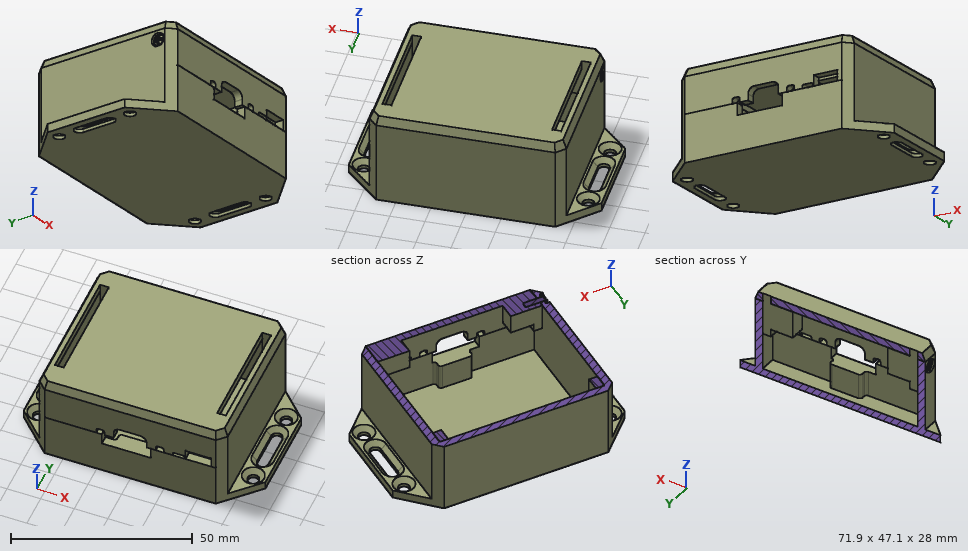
import cadquery as cq
import math

LENGTH = 71.9
WIDTH = 47.15
HEIGHT = 27.95
CORNER_CUT = 10.5

WALL = 2.6
BODY_LENGTH = 56.0
SPLIT_Z = 14.3
LID_BEVEL = 1.1
PLATE_Z = HEIGHT - WALL
INNER_LENGTH = BODY_LENGTH - 2 * WALL
INNER_WIDTH = WIDTH - 2 * WALL
FRONT_Y = -WIDTH / 2

FLANGE_HOLE_X = 31.9
FLANGE_HOLE_Y = 12.0
FLANGE_HOLE_DIAMETER = 3.4
COUNTERSINK_DIAMETER = 6.4
COUNTERSINK_DEPTH = (COUNTERSINK_DIAMETER - FLANGE_HOLE_DIAMETER) / 2
SLOT_CENTRES = 10.2

LID_SLOT_LENGTH = 32.9
LID_SLOT_Y = 0.35
POST_THICKNESS = WALL
POST_X = (INNER_LENGTH - POST_THICKNESS) / 2
POST_INNER_X = POST_X - POST_THICKNESS / 2

BOSS_LENGTH = 7.2
BOSS_FRONT_Y = FRONT_Y + WALL
BOSS_BACK_Y = LID_SLOT_Y - LID_SLOT_LENGTH / 2
BOSS_WIDTH = BOSS_BACK_Y - BOSS_FRONT_Y
BOSS_Y = (BOSS_FRONT_Y + BOSS_BACK_Y) / 2
BOSS_BOTTOM_Z = 16.7

PLUG_WIDTH = 9.8
PLUG_HEIGHT = 3.9
PLUG_RADIUS = 2.0
LIGHT_X = 8.85
LIGHT_WIDTH = 2.45
LIGHT_HEIGHT = 1.7
LIGHT_RADIUS = 0.85
LOW_OPENING_X = 14.4
LOW_OPENING_WIDTH = 3.5
LOW_OPENING_HEIGHT = 1.1
LOW_OPENING_RADIUS = 0.61
WIDE_OPENING_X = 20.3
WIDE_OPENING_WIDTH = 7.6
WIDE_OPENING_HEIGHT = 3.2

NOTCH_X = -1.15
NOTCH_WIDTH = 14.5
NOTCH_DEPTH = 3.7
NOTCH_Z = SPLIT_Z - NOTCH_DEPTH
PAD_WIDTH = 10.35
PAD_DEPTH = 2.5
PAD_RADIUS = 0.85

SCREW_Y = -18.55
SCREW_Z = 22.6
HEAD_DIAMETER = 3.4
HEAD_RIM_HEIGHT = 0.6
HEAD_DOME_HEIGHT = 0.5
HEAD_HEIGHT = HEAD_RIM_HEIGHT + HEAD_DOME_HEIGHT
HEAD_RECESS_DIAMETER = 4.0
HEAD_RECESS_DEPTH = 1.1
SHANK_DIAMETER = 1.6
SHANK_LENGTH = 5.75
CROSS_LENGTH = 2.2
CROSS_WIDTH = 0.65
CROSS_DEPTH = 0.6
HEAD_SEAT_X = -BODY_LENGTH / 2 + HEAD_RECESS_DEPTH


def block(length, width, bottom, top, x=0.0, y=0.0):
    """Upright box centred on x and y, reaching from bottom to top."""
    return cq.Workplane(origin=(x, y, bottom)).rect(length, width).extrude(top - bottom)


def cut_corner_prism(length, bottom, top, taper=0.0):
    """Prism across the full width whose 45 degree cut corners lie on the lines of the flanges."""
    half_length = length / 2
    half_width = WIDTH / 2
    inner_x = LENGTH / 2 - CORNER_CUT
    inner_y = half_width - (half_length - inner_x)
    return (
        cq.Workplane(origin=(0, 0, bottom))
        .polyline([
            (half_length, -inner_y),
            (half_length, inner_y),
            (inner_x, half_width),
            (-inner_x, half_width),
            (-half_length, inner_y),
            (-half_length, -inner_y),
            (-inner_x, -half_width),
            (inner_x, -half_width),
        ])
        .close()
        .extrude(top - bottom, taper=taper)
    )


def flange_hole(x, y):
    """Countersunk round hole."""
    hole = cq.Workplane(origin=(x, y, 0)).circle(FLANGE_HOLE_DIAMETER / 2).extrude(WALL)
    cone = (
        cq.Workplane(origin=(x, y, WALL))
        .circle(COUNTERSINK_DIAMETER / 2)
        .extrude(-COUNTERSINK_DEPTH, taper=45)
    )
    return hole.union(cone)


def flange_slot(x):
    """Countersunk slot along Y: two countersunk ends joined by a straight stretch."""
    half_hole = FLANGE_HOLE_DIAMETER / 2
    half_mouth = COUNTERSINK_DIAMETER / 2
    straight = (
        cq.Workplane("XZ", origin=(x, SLOT_CENTRES / 2, 0))
        .polyline([
            (-half_hole, 0),
            (half_hole, 0),
            (half_hole, WALL - COUNTERSINK_DEPTH),
            (half_mouth, WALL),
            (-half_mouth, WALL),
            (-half_hole, WALL - COUNTERSINK_DEPTH),
        ])
        .close()
        .extrude(SLOT_CENTRES)
    )
    for side in (-1, 1):
        straight = straight.union(flange_hole(x, side * SLOT_CENTRES / 2))
    return straight


def screw_axis_cylinder(diameter, start_x, length):
    """Cylinder along +X on the axis of the lid screw."""
    return (
        cq.Workplane("YZ", origin=(start_x, SCREW_Y, SCREW_Z))
        .circle(diameter / 2)
        .extrude(length)
    )


def support_pad():
    """Pad behind the notch: rounded at its inner corners, filleted into the front wall."""
    half_width = PAD_WIDTH / 2
    wall_y = FRONT_Y + WALL
    pad_y = wall_y + PAD_DEPTH
    return (
        cq.Workplane(origin=(0, 0, WALL))
        .moveTo(-half_width - PAD_RADIUS, wall_y)
        .radiusArc((-half_width, wall_y + PAD_RADIUS), -PAD_RADIUS)
        .lineTo(-half_width, pad_y - PAD_RADIUS)
        .radiusArc((-half_width + PAD_RADIUS, pad_y), PAD_RADIUS)
        .lineTo(half_width - PAD_RADIUS, pad_y)
        .radiusArc((half_width, pad_y - PAD_RADIUS), PAD_RADIUS)
        .lineTo(half_width, wall_y + PAD_RADIUS)
        .radiusArc((half_width + PAD_RADIUS, wall_y), -PAD_RADIUS)
        .close()
        .extrude(NOTCH_Z - WALL)
    )


def front_opening(x, width, height, radius=0.0):
    """Cutter through the lid's front wall, rising from the split, with rounded upper corners."""
    cutter = block(width, WALL, SPLIT_Z, SPLIT_Z + height, x, FRONT_Y + WALL / 2)
    if radius > 0:
        cutter = cutter.edges("|Y and >Z").fillet(radius)
    return cutter


def make_base():
    """Floor with flanges, full-height side and back walls, and a front wall up to the split."""
    base = cut_corner_prism(LENGTH, 0, WALL).union(cut_corner_prism(BODY_LENGTH, 0, PLATE_Z))
    base = base.cut(block(INNER_LENGTH, INNER_WIDTH, WALL, PLATE_Z))
    base = base.cut(block(INNER_LENGTH, WALL, SPLIT_Z, PLATE_Z, y=FRONT_Y + WALL / 2))
    for side in (-1, 1):
        base = base.cut(flange_slot(side * FLANGE_HOLE_X))
        for end in (-1, 1):
            base = base.cut(flange_hole(side * FLANGE_HOLE_X, end * FLANGE_HOLE_Y))
    base = base.union(support_pad())
    base = base.cut(block(NOTCH_WIDTH, WALL, NOTCH_Z, SPLIT_Z, NOTCH_X, FRONT_Y + WALL / 2))
    base = base.cut(screw_axis_cylinder(HEAD_RECESS_DIAMETER, -BODY_LENGTH / 2, HEAD_RECESS_DEPTH))
    return base.cut(screw_axis_cylinder(SHANK_DIAMETER, HEAD_SEAT_X, SHANK_LENGTH))


def make_lid():
    """Bevelled plate with a front wall, corner posts and screw bosses."""
    bevel_angle = math.degrees(math.atan(LID_BEVEL / WALL))
    lid = cut_corner_prism(BODY_LENGTH, PLATE_Z, HEIGHT, bevel_angle)
    lid = lid.union(block(INNER_LENGTH, WALL, SPLIT_Z, PLATE_Z, y=FRONT_Y + WALL / 2))
    for side in (-1, 1):
        lid = lid.union(block(POST_THICKNESS, INNER_WIDTH, SPLIT_Z, PLATE_Z, side * POST_X))
        boss_x = side * (POST_INNER_X - BOSS_LENGTH / 2)
        lid = lid.union(block(BOSS_LENGTH, BOSS_WIDTH, BOSS_BOTTOM_Z, PLATE_Z, boss_x, BOSS_Y))
        lid = lid.cut(
            block(POST_THICKNESS, LID_SLOT_LENGTH, SPLIT_Z, HEIGHT, side * POST_X, LID_SLOT_Y)
        )

    lid = lid.cut(front_opening(0, PLUG_WIDTH, PLUG_HEIGHT, PLUG_RADIUS))
    for side in (-1, 1):
        lid = lid.cut(front_opening(side * LIGHT_X, LIGHT_WIDTH, LIGHT_HEIGHT, LIGHT_RADIUS))
    lid = lid.cut(
        front_opening(LOW_OPENING_X, LOW_OPENING_WIDTH, LOW_OPENING_HEIGHT, LOW_OPENING_RADIUS)
    )
    lid = lid.cut(front_opening(WIDE_OPENING_X, WIDE_OPENING_WIDTH, WIDE_OPENING_HEIGHT))
    return lid.cut(screw_axis_cylinder(SHANK_DIAMETER, HEAD_SEAT_X, SHANK_LENGTH))


def make_screw():
    """Domed screw head with a cross recess, and a plain shank."""
    head_top_x = HEAD_SEAT_X - HEAD_HEIGHT
    dome_radius = ((HEAD_DIAMETER / 2) ** 2 + HEAD_DOME_HEIGHT**2) / (2 * HEAD_DOME_HEIGHT)
    dome_ball = cq.Workplane(origin=(head_top_x + dome_radius, SCREW_Y, SCREW_Z)).sphere(dome_radius)
    head = screw_axis_cylinder(HEAD_DIAMETER, head_top_x, HEAD_HEIGHT).intersect(dome_ball)
    screw = head.union(screw_axis_cylinder(SHANK_DIAMETER, HEAD_SEAT_X, SHANK_LENGTH))
    for arm in ((CROSS_LENGTH, CROSS_WIDTH), (CROSS_WIDTH, CROSS_LENGTH)):
        recess = (
            cq.Workplane("YZ", origin=(head_top_x, SCREW_Y, SCREW_Z))
            .rect(*arm)
            .extrude(CROSS_DEPTH)
        )
        screw = screw.cut(recess)
    return screw


base = make_base()
lid = make_lid()
screw = make_screw()

bodies = [base, lid, screw]
result = cq.Compound.makeCompound([solid for body in bodies for solid in body.solids().vals()])